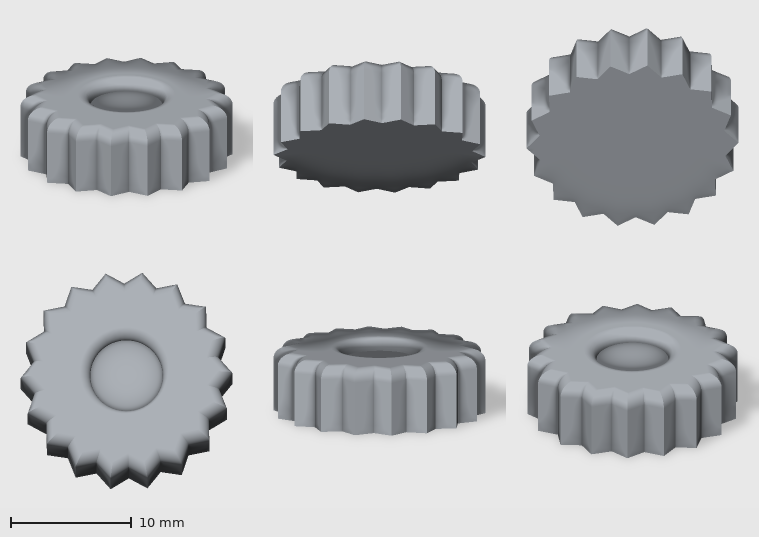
import cadquery as cq
import math

TOOTH_COUNT = 18
TIP_RADIUS = 8.8
TIP_ANGLE = 100.0
HEIGHT = 5.5
TOP_ROUND = 1.0
DISH_FLOOR_RADIUS = 3.0
DISH_DEPTH = 1.0

TOOTH_PITCH = 360.0 / TOOTH_COUNT
HALF_PITCH = math.radians(TOOTH_PITCH / 2)
HALF_TIP = math.radians(TIP_ANGLE / 2)
VALLEY_RADIUS = TIP_RADIUS * math.sin(HALF_TIP) / math.sin(HALF_TIP + HALF_PITCH)
FIRST_TIP_ANGLE = math.radians(90)


def polar_point(radius, angle):
    return (radius * math.cos(angle), radius * math.sin(angle))


def toothed_body():
    """Star-shaped prism with its upper rim rounded over."""
    outline = []
    for tooth in range(TOOTH_COUNT):
        tip_direction = FIRST_TIP_ANGLE + tooth * 2 * HALF_PITCH
        outline.append(polar_point(TIP_RADIUS, tip_direction))
        outline.append(polar_point(VALLEY_RADIUS, tip_direction + HALF_PITCH))
    prism = cq.Workplane("XY").polyline(outline).close().extrude(HEIGHT)
    return prism.faces(">Z").edges().fillet(TOP_ROUND)


def dish():
    """Shallow central recess whose wall flares out convexly into the top face."""
    floor_height = HEIGHT - DISH_DEPTH
    lip_radius = DISH_FLOOR_RADIUS + DISH_DEPTH
    diagonal = DISH_DEPTH * math.sqrt(0.5)
    lip_middle = (lip_radius - diagonal, floor_height + diagonal)
    return (
        cq.Workplane("XZ")
        .moveTo(0, floor_height)
        .lineTo(DISH_FLOOR_RADIUS, floor_height)
        .threePointArc(lip_middle, (lip_radius, HEIGHT))
        .lineTo(0, HEIGHT)
        .close()
        .revolve(360, (0, 0), (0, 1))
    )


result = toothed_body().cut(dish())